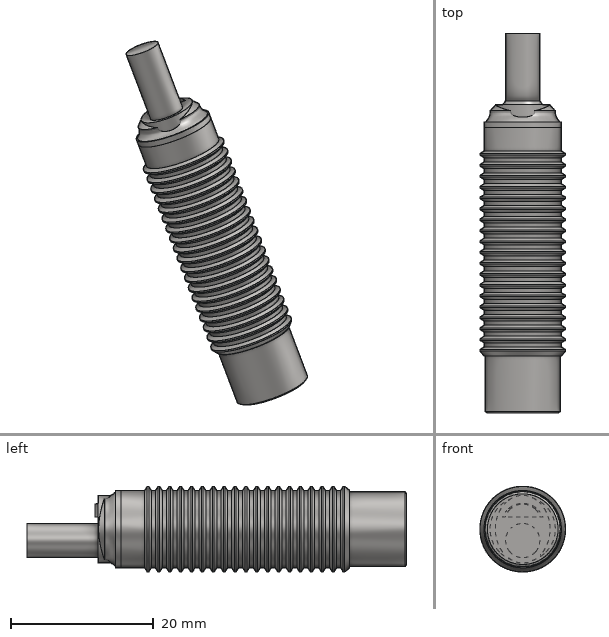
import cadquery as cq

overall_length = 53.2

cap_length = 8.0
cap_radius = 5.25
cap_chamfer_radial = 0.3
cap_chamfer_axial = 0.2

housing_end = 40.0
core_radius = 5.4
ridge_radius = 6.0
ridge_count = 19
first_ridge_y = 8.8
last_ridge_y = 36.25
ridge_pitch = (last_ridge_y - first_ridge_y) / (ridge_count - 1)
crest_half_width = 0.1
ridge_base_half_width = 0.5

flange_end = 40.8
cove_end_radius = 5.2
land_radius = 4.6
land_start = 42.2
land_end = 42.35
plug_end = 43.2
plug_end_radius = 3.8
boss_half_width = 3.85
boss_half_height = 4.75

lens_length = 0.5
lens_bottom_z = 1.7
lens_base_half_width = 2.8
lens_base_top_z = 3.6
lens_tip_half_width = 2.45
lens_tip_top_z = 3.5

cable_radius = 2.4
cable_axis_z = -1.6


def xz_plane(y):
    """Plane across the axis at the given Y, with its normal along +Y."""
    return cq.Plane(origin=(0, y, 0), xDir=(1, 0, 0), normal=(0, 1, 0))


def revolve_about_y(profile):
    """Turn a closed XY half-profile about the Y axis."""
    return profile.close().revolve(360, (0, 0, 0), (0, 1, 0))


def make_cap():
    face_radius = cap_radius - cap_chamfer_radial
    profile = (
        cq.Workplane("XY")
        .lineTo(face_radius, 0)
        .lineTo(cap_radius, cap_chamfer_axial)
        .lineTo(cap_radius, cap_length)
        .lineTo(0, cap_length)
    )
    return revolve_about_y(profile)


def make_housing():
    profile = cq.Workplane("XY").moveTo(0, cap_length).lineTo(core_radius, cap_length)
    for i in range(ridge_count):
        y = first_ridge_y + i * ridge_pitch
        if i > 0:
            profile = profile.lineTo(core_radius, y - ridge_base_half_width)
        profile = (
            profile.lineTo(ridge_radius, y - crest_half_width)
            .lineTo(ridge_radius, y + crest_half_width)
            .lineTo(core_radius, y + ridge_base_half_width)
        )
    profile = profile.lineTo(core_radius, housing_end).lineTo(0, housing_end)
    return revolve_about_y(profile)


def make_plug():
    profile = (
        cq.Workplane("XY")
        .moveTo(0, plug_end)
        .lineTo(plug_end_radius, plug_end)
        .lineTo(land_radius, land_end)
        .lineTo(land_radius, land_start)
        .tangentArcPoint((cove_end_radius, flange_end), relative=False)
        .lineTo(core_radius, flange_end)
        .lineTo(core_radius, housing_end)
        .lineTo(0, housing_end)
    )
    boss = (
        cq.Workplane(xz_plane(flange_end))
        .ellipse(boss_half_width, boss_half_height)
        .extrude(plug_end - flange_end)
    )
    return revolve_about_y(profile).union(boss)


def lens_outline(y, half_width, top_z):
    """D-shaped wire: flat bottom edge, arched top."""
    left = cq.Vector(-half_width, y, lens_bottom_z)
    top = cq.Vector(0, y, top_z)
    right = cq.Vector(half_width, y, lens_bottom_z)
    arch = cq.Edge.makeThreePointArc(left, top, right)
    return cq.Wire.assembleEdges([arch, cq.Edge.makeLine(right, left)])


def make_lens():
    base = lens_outline(plug_end, lens_base_half_width, lens_base_top_z)
    tip = lens_outline(plug_end + lens_length, lens_tip_half_width, lens_tip_top_z)
    return cq.Workplane(cq.Solid.makeLoft([base, tip], True))


def make_cable():
    return cq.Workplane(
        cq.Solid.makeCylinder(
            cable_radius,
            overall_length - plug_end,
            cq.Vector(0, plug_end, cable_axis_z),
            cq.Vector(0, 1, 0),
        )
    )


cap = make_cap()
housing = make_housing()
plug = make_plug()
lens = make_lens()
cable = make_cable()

result = cq.Compound.makeCompound([cap.val(), housing.val(), plug.val(), lens.val(), cable.val()])